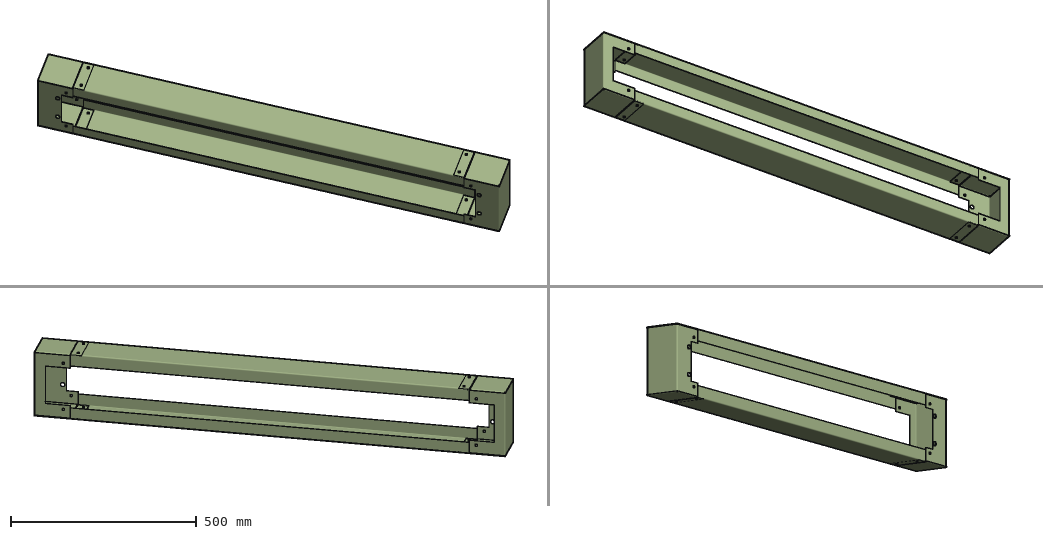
import cadquery as cq

LENGTH = 1300.0
DEPTH = 100.0
HEIGHT = 190.0
LEFT = -LENGTH / 2
TOP = HEIGHT / 2

SHEET = 2.0
INNER_BEND = 1.5
OUTER_BEND = SHEET + INNER_BEND
INNER_DEPTH = DEPTH - 2 * SHEET

END_LENGTH = 100.0
FRONT_WINDOW_START = 68.0
BACK_WINDOW_START = 31.0
ARM_HEIGHT = 40.0
TAB_LENGTH = 30.0
TAB_OVERLAP = SHEET
TAB_CLEARANCE = INNER_BEND

RAIL_HEIGHT = 34.0
RAIL_LENGTH = LENGTH - 2 * END_LENGTH

CABLE_HOLE_DIAMETER = 12.0
CABLE_HOLE_FROM_END = 57.0
CABLE_HOLE_FROM_CENTRE = 38.0
SCREW_HOLE_DIAMETER = 6.0
WALL_SCREW_FROM_END = 80.0
WALL_SCREW_FROM_CENTRE = 68.0
TAB_SCREW_FROM_END = 118.0
TAB_SCREW_FROM_CENTRE = 32.0


def block(x_start, length, depth, z_bottom, z_top):
    """Box that starts at x_start and is centred on the XZ plane."""
    box = cq.Workplane("XY").box(length, depth, z_top - z_bottom, centered=(False, True, False))
    return box.translate((x_start, 0, z_bottom))


def wall_holes(x, z, diameter):
    """Cylinders along Y through the full depth at x, above and below the middle by z."""
    drills = cq.Workplane("XZ").pushPoints([(x, -z), (x, z)]).circle(diameter / 2)
    return drills.extrude(DEPTH, both=True)


def tab_screw_holes(x):
    """Upright cylinders through the top sheets, one on each side of the middle at x."""
    points = [(x, -TAB_SCREW_FROM_CENTRE), (x, TAB_SCREW_FROM_CENTRE)]
    return cq.Workplane("XY").pushPoints(points).circle(SCREW_HOLE_DIAMETER / 2).extrude(HEIGHT)


def at_right(body):
    return body.mirror("YZ")


def at_bottom(body):
    return body.mirror("XY")


def make_rail():
    """Top rail: a channel that opens downward and runs between the ends."""
    start = LEFT + END_LENGTH
    bottom = TOP - RAIL_HEIGHT
    outside = block(start, RAIL_LENGTH, DEPTH, bottom, TOP)
    outside = outside.edges("|X and >Z").fillet(OUTER_BEND)
    inside = block(start, RAIL_LENGTH, INNER_DEPTH, bottom, TOP - SHEET)
    inside = inside.edges("|X and >Z").fillet(INNER_BEND)
    left_holes = tab_screw_holes(LEFT + TAB_SCREW_FROM_END)
    return outside.cut(inside).cut(left_holes).cut(at_right(left_holes))


def make_wall_window():
    """Space cut from the left wall, reaching nearer to the end at the back than at the front."""
    window_top = TOP - ARM_HEIGHT
    front = block(LEFT + FRONT_WINDOW_START, END_LENGTH, DEPTH, -window_top, window_top)
    back = block(LEFT + BACK_WINDOW_START, END_LENGTH, DEPTH, -window_top, window_top)
    return front.translate((0, -DEPTH / 2, 0)).union(back.translate((0, DEPTH / 2, 0)))


def make_end_wall():
    """Left end wall: an upright sheet bent around the end, standing between the two caps."""
    wall_top = TOP - OUTER_BEND
    outside = block(LEFT, END_LENGTH, DEPTH, -wall_top, wall_top)
    outside = outside.edges("|Z and <X").fillet(OUTER_BEND)
    inside = block(LEFT + SHEET, END_LENGTH, INNER_DEPTH, -wall_top, wall_top)
    inside = inside.edges("|Z and <X").fillet(INNER_BEND)
    wall = outside.cut(inside).cut(make_wall_window())
    cable_x = LEFT + CABLE_HOLE_FROM_END
    screw_x = LEFT + WALL_SCREW_FROM_END
    wall = wall.cut(wall_holes(cable_x, CABLE_HOLE_FROM_CENTRE, CABLE_HOLE_DIAMETER))
    return wall.cut(wall_holes(screw_x, WALL_SCREW_FROM_CENTRE, SCREW_HOLE_DIAMETER))


def make_cap():
    """Top left cap: a sheet with three rolled-over edges and a lowered tab under the rail."""
    lip_bottom = TOP - OUTER_BEND
    trim_bottom = lip_bottom - OUTER_BEND
    outside = block(LEFT, END_LENGTH, DEPTH, trim_bottom, TOP)
    outside = outside.faces(">Z").edges("|X or <X").fillet(OUTER_BEND)
    inside = block(LEFT + SHEET, END_LENGTH, INNER_DEPTH, trim_bottom, TOP - SHEET)
    inside = inside.faces(">Z").edges("|X or <X").fillet(INNER_BEND)
    below_lip = block(LEFT, END_LENGTH, DEPTH, trim_bottom, lip_bottom)
    cover = outside.cut(inside).cut(below_lip)
    tab_top = TOP - SHEET
    tab_start = LEFT + END_LENGTH - TAB_OVERLAP
    tab_depth = INNER_DEPTH - 2 * TAB_CLEARANCE
    tab = block(tab_start, TAB_OVERLAP + TAB_LENGTH, tab_depth, tab_top - SHEET, tab_top)
    return cover.union(tab).cut(tab_screw_holes(LEFT + TAB_SCREW_FROM_END))


top_rail = make_rail()
rails = [top_rail, at_bottom(top_rail)]

left_wall = make_end_wall()
end_walls = [left_wall, at_right(left_wall)]

top_left_cap = make_cap()
caps = []
for top_cap in (top_left_cap, at_right(top_left_cap)):
    caps += [top_cap, at_bottom(top_cap)]

result = cq.Compound.makeCompound([body.val() for body in rails + end_walls + caps])